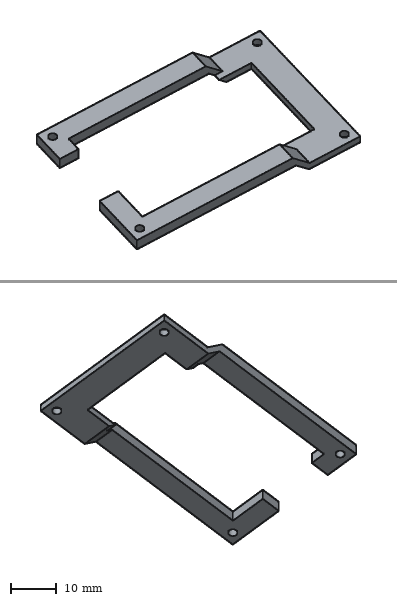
import cadquery as cq
import math

width = 37.94
length = 59.78

plate_thickness = 2.0
arm_thickness = 3.0
step_gap = 1.5
arm_bottom = plate_thickness + step_gap
total_height = arm_bottom + arm_thickness

rail_depth = 7.0
left_leg_width = 6.65
right_leg_width = 7.5
leg_length = 13.7

arm_width = 5.0
foot_depth = 5.0
left_foot_length = 8.75
right_foot_length = 14.15

ramp_thickness = 1.5
ramp_run = ramp_thickness * math.sqrt(2)

hole_diameter = 2.0
hole_inset = 2.5


def ramp_front(z):
    """Y of the sloping plane that ends the legs, ramps and arms at height z."""
    return -leg_length - z


def extrude_side_profile(points, x_start, x_size):
    """Extrude a (y, z) profile along +X from x_start."""
    return cq.Workplane("YZ").workplane(offset=x_start).polyline(points).close().extrude(x_size)


def box_between(x_range, y_range, z_range):
    """Axis-aligned box from its low and high limits."""
    low, high = zip(x_range, y_range, z_range)
    size = [b - a for a, b in zip(low, high)]
    return cq.Workplane("XY").box(*size, centered=False).translate(low)


def back_plate():
    profile = [
        (0, 0),
        (ramp_front(0), 0),
        (ramp_front(plate_thickness), plate_thickness),
        (0, plate_thickness),
    ]
    opening = box_between(
        (left_leg_width, width - right_leg_width),
        (-length, -rail_depth),
        (0, plate_thickness),
    )
    return extrude_side_profile(profile, 0, width).cut(opening)


def ramp_and_arm(x_start):
    """One strip that climbs from the plate and runs forward to the front edge."""
    profile = [
        (ramp_front(0) + ramp_run, 0),
        (ramp_front(0), 0),
        (ramp_front(arm_bottom), arm_bottom),
        (-length, arm_bottom),
        (-length, total_height),
        (ramp_front(total_height) + ramp_run, total_height),
    ]
    return extrude_side_profile(profile, x_start, arm_width)


def foot(x_start, x_end):
    return box_between(
        (x_start, x_end),
        (-length, -length + foot_depth),
        (arm_bottom, total_height),
    )


def corner_holes():
    centers = [
        (x, y)
        for x in (hole_inset, width - hole_inset)
        for y in (-hole_inset, -length + hole_inset)
    ]
    return cq.Workplane("XY").pushPoints(centers).circle(hole_diameter / 2).extrude(total_height)


frame = back_plate()
for arm_x in (0, width - arm_width):
    frame = frame.union(ramp_and_arm(arm_x))
frame = frame.union(foot(0, left_foot_length))
frame = frame.union(foot(width - right_foot_length, width))

result = frame.cut(corner_holes()).clean()